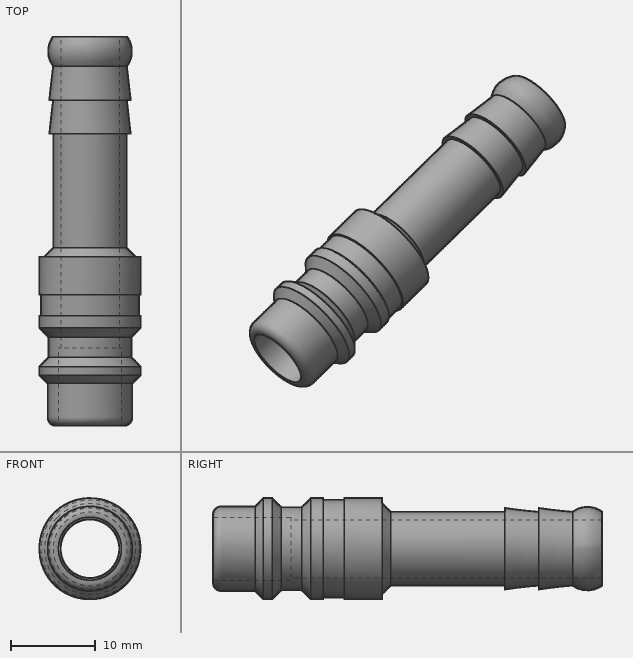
import cadquery as cq

length = 46.0
nose_rounding = 1.0
nose_end = 5.0
rear_flange_start = 6.0
rear_flange_end = 7.0
neck_start = 8.1
neck_end = 10.5
front_flange_start = 11.6
front_flange_end = 13.0
collar_start = 15.5
collar_end = 20.0
tube_start = 21.0
bulb_length = 3.5
barb_length = 4.0
barb_count = 2

flange_radius = 6.005
nose_radius = 5.0
neck_radius = 4.9
groove_radius = 5.8
tube_radius = 4.35
barb_radius = 4.85
bulb_radius = 4.95

bore_radius = 3.45
counterbore_radius = 3.73
counterbore_depth = 9.2

bulb_start = length - bulb_length
barbs_start = bulb_start - barb_count * barb_length
shoulder_radius = tube_radius + tube_start - collar_end


def turned_body():
    """Solid of revolution about Y, from an outline of (radius, y) points."""
    outline = (
        cq.Workplane("XY")
        .lineTo(nose_radius - nose_rounding, 0)
        .radiusArc((nose_radius, nose_rounding), -nose_rounding)
        .lineTo(nose_radius, nose_end)
        .lineTo(flange_radius, rear_flange_start)
        .lineTo(flange_radius, rear_flange_end)
        .lineTo(neck_radius, neck_start)
        .lineTo(neck_radius, neck_end)
        .lineTo(flange_radius, front_flange_start)
        .lineTo(flange_radius, front_flange_end)
        .lineTo(groove_radius, front_flange_end)
        .lineTo(groove_radius, collar_start)
        .lineTo(flange_radius, collar_start)
        .lineTo(flange_radius, collar_end)
        .lineTo(shoulder_radius, collar_end)
        .lineTo(tube_radius, tube_start)
        .lineTo(tube_radius, barbs_start)
    )
    for index in range(barb_count):
        barb_base = barbs_start + index * barb_length
        outline = outline.lineTo(barb_radius, barb_base)
        outline = outline.lineTo(tube_radius, barb_base + barb_length)
    outline = outline.threePointArc((bulb_radius, length - bulb_length / 2), (tube_radius, length))
    return outline.lineTo(0, length).close().revolve(360, (0, 0, 0), (0, 1, 0))


def bore():
    """Through bore, widened by the counterbore at the plug end."""
    return (
        cq.Workplane("XY")
        .lineTo(counterbore_radius, 0)
        .lineTo(counterbore_radius, counterbore_depth)
        .lineTo(bore_radius, counterbore_depth)
        .lineTo(bore_radius, length)
        .lineTo(0, length)
        .close()
        .revolve(360, (0, 0, 0), (0, 1, 0))
    )


result = turned_body().cut(bore())